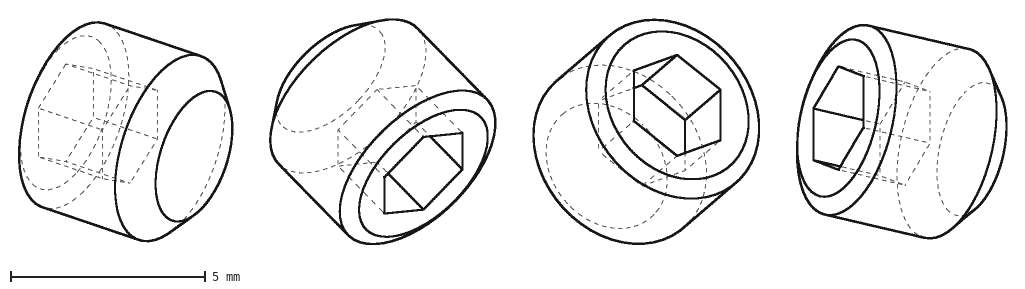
import cadquery as cq
import math

length = 4.0
diameter = 5.0
socket_chamfer_length = 0.25
socket_chamfer_angle = 60.0
point_chamfer = 0.75
hex_across_flats = 2.5
hex_depth = 2.0

radius = diameter / 2
socket_face_radius = radius - socket_chamfer_length * math.tan(math.radians(socket_chamfer_angle))
hex_across_corners = hex_across_flats / math.cos(math.pi / 6)


def make_body():
    """Revolve the chamfered half profile about the X axis."""
    return (
        cq.Workplane("XY")
        .moveTo(0, 0)
        .lineTo(0, socket_face_radius)
        .lineTo(socket_chamfer_length, radius)
        .lineTo(length - point_chamfer, radius)
        .lineTo(length, radius - point_chamfer)
        .lineTo(length, 0)
        .close()
        .revolve(360, (0, 0, 0), (1, 0, 0))
    )


def make_hex_socket():
    """Flat-bottomed hexagonal socket with two corners along Z."""
    return (
        cq.Workplane("YZ")
        .polygon(6, hex_across_corners)
        .extrude(hex_depth)
        .rotate((0, 0, 0), (1, 0, 0), 90)
    )


result = make_body().cut(make_hex_socket())